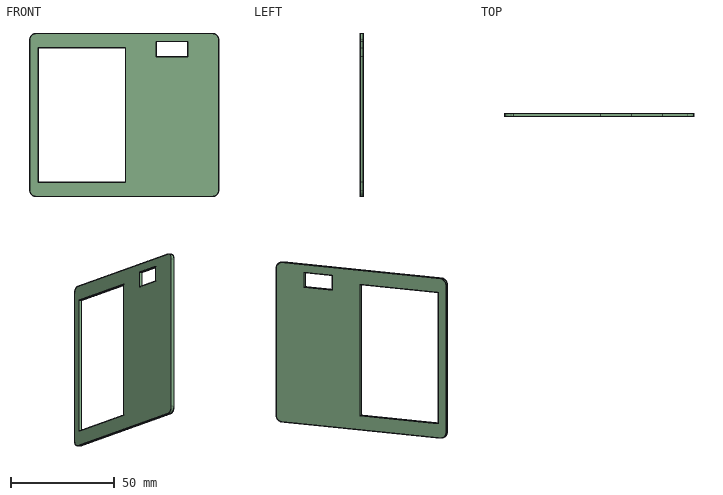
import cadquery as cq

plate_width = 91.0
plate_height = 78.5
plate_thickness = 1.6
corner_radius = 3.0

window_width = 41.8
window_height = 64.5
window_left_margin = 4.2

slot_width = 15.0
slot_height = 7.2
slot_right_margin = 15.0
slot_top_margin = 3.9


def plate_block(width, height, center_x=0.0, center_z=0.0):
    """Rectangular block through the plate thickness, centred at the given X and Z."""
    return cq.Workplane("XY").box(width, plate_thickness, height).translate((center_x, 0, center_z))


def rounded_plate():
    """Flat plate with its four corners rounded."""
    return plate_block(plate_width, plate_height).edges("|Y").fillet(corner_radius)


def window():
    """Through opening on the left side of the plate."""
    center_x = -plate_width / 2 + window_left_margin + window_width / 2
    return plate_block(window_width, window_height, center_x)


def slot():
    """Through opening in the upper right of the plate."""
    center_x = plate_width / 2 - slot_right_margin - slot_width / 2
    center_z = plate_height / 2 - slot_top_margin - slot_height / 2
    return plate_block(slot_width, slot_height, center_x, center_z)


result = rounded_plate().cut(window()).cut(slot())